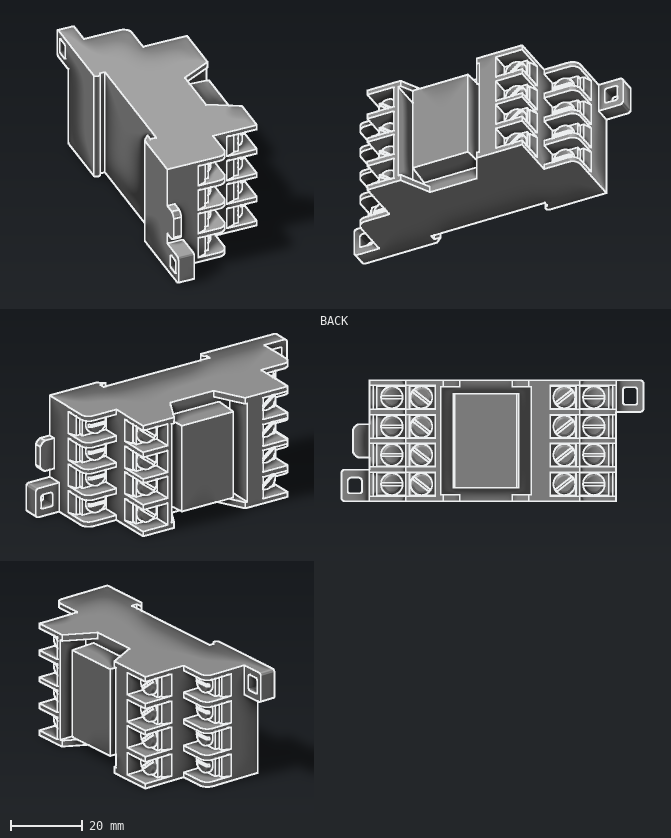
import cadquery as cq

length = 84.84
height = 32.0
width = 34.04
mid_z = width / 2

body_left = 7.7
body_right = 76.95
body_center = (body_left + body_right) / 2
tower_inset = 10.22
tower_left = body_left + tower_inset
tower_right = body_right - tower_inset
tier_rise = 13.3
shoulder_height = 18.5
shoulder_radius = 2.5

notch_center = 44.25
notch_top_width = 24.0
notch_floor_width = 14.7
notch_depth = 9.0
notch_floor = height - notch_depth
recess_width = 25.5
recess_wall = 1.85

plug_top_width = 17.4
plug_base_width = 18.4
plug_height = 30.95
plug_wall_distance = 3.8

channel_left = 25.3
channel_right = 61.1
channel_roof = 3.58
fixed_hook_height = 2.05
fixed_hook_reach = 1.1
fixed_hook_tip = 1.0
fixed_hook_foot = 0.5
spring_hook_height = 1.8
spring_hook_reach = 2.0

tab_thickness = 4.85
tab_width = 8.95
tab_corner_radius = 1.0
hole_length = 3.95
left_hole_width = 4.85
hole_margin = 1.8
left_hole_inner_radius = 0.6
right_hole_width = 4.35
right_hole_inner_radius = 1.0
hole_outer_radius = 0.6

latch_reach = 4.65
latch_width = 9.4
latch_start = 12.3
latch_thickness = 2.3
latch_corner = 1.55
latch_corner_bulge = 0.23

bays_per_tier = 4
bay_width = 6.65
side_wall = 1.5
center_rib = 1.3
bay_rib = (width - 2 * side_wall - bays_per_tier * bay_width - center_rib) / 2
inner_bay_offset = (center_rib + bay_width) / 2
outer_bay_offset = inner_bay_offset + bay_width + bay_rib
bay_offsets = (-outer_bay_offset, -inner_bay_offset, inner_bay_offset, outer_bay_offset)
lower_sill = 9.43
upper_sill = lower_sill + tier_rise
sill_run = 1.0
sill_rise = 2.65
lower_bay_depth = tower_inset
upper_bay_depth = 8.3

plate_thickness = 1.4
plate_width = 6.3
lower_plate_setback = 2.1
upper_plate_setback = 1.1
head_radius = 3.05
head_back_gap = 0.9
head_height = 1.7
head_rim = 0.55
head_crown_radius = 2.1
head_bulge = 0.2
slot_width = 0.75
slot_depth = 0.6
lower_slot_angle = 0
upper_slot_angle = 38


def box(x0, x1, y0, y1, z0, z1):
    """Box between two opposite corners."""
    return cq.Workplane("XY").box(x1 - x0, y1 - y0, z1 - z0, centered=False).translate((x0, y0, z0))


def trapezoid(center_x, bottom_width, top_width, y0, y1):
    """Sketch symmetric about center_x, tapering from y0 up to y1."""
    return (
        cq.Workplane("XY")
        .moveTo(center_x - bottom_width / 2, y0)
        .lineTo(center_x + bottom_width / 2, y0)
        .lineTo(center_x + top_width / 2, y1)
        .lineTo(center_x - top_width / 2, y1)
        .close()
    )


def mirror_end(solid):
    """Copy of a left-end feature on the right end of the body."""
    return solid.mirror("YZ", (body_center, 0, 0))


def make_body():
    lower = box(body_left, body_right, 0, shoulder_height, 0, width)
    lower = lower.edges("|Z and >Y").fillet(shoulder_radius)
    tower = box(tower_left, tower_right, 0, height, 0, width)
    return lower.union(tower)


def make_rail_channel():
    return (
        cq.Workplane("XY")
        .moveTo(channel_left, channel_roof)
        .lineTo(channel_left, fixed_hook_height)
        .threePointArc(
            (channel_left + fixed_hook_reach, fixed_hook_tip),
            (channel_left + fixed_hook_foot, 0),
        )
        .lineTo(channel_right, 0)
        .lineTo(channel_right - spring_hook_reach, spring_hook_height)
        .lineTo(channel_right, spring_hook_height)
        .lineTo(channel_right, channel_roof)
        .close()
        .extrude(width)
    )


def cut_plug_recess(body):
    notch = trapezoid(notch_center, notch_floor_width, notch_top_width, notch_floor, height).extrude(width)
    recess = box(
        notch_center - recess_width / 2,
        notch_center + recess_width / 2,
        notch_floor,
        height,
        recess_wall,
        width - recess_wall,
    )
    plug = (
        trapezoid(notch_center, plug_base_width, plug_top_width, notch_floor, plug_height)
        .extrude(width - 2 * plug_wall_distance)
        .translate((0, 0, plug_wall_distance))
    )
    return body.cut(notch).cut(recess).union(plug)


def make_tab(reach, hole_width, inner_radius):
    """Tab at the -X, +Z corner, reaching from X = 0 to the body, with its mounting hole."""
    tab = box(0, reach, 0, tab_thickness, width - tab_width, width)
    tab = tab.edges("|Y and <X").fillet(tab_corner_radius)
    hole_z = width - tab_width / 2
    hole = box(
        hole_margin,
        hole_margin + hole_length,
        0,
        tab_thickness,
        hole_z - hole_width / 2,
        hole_z + hole_width / 2,
    )
    hole = hole.edges("|Y and >Z").fillet(hole_outer_radius)
    hole = hole.edges("|Y and <Z").fillet(inner_radius)
    return tab.cut(hole)


def add_tabs(body):
    """Tabs at opposite corners, the right one turned half a turn about Y."""
    left_tab = make_tab(body_left, left_hole_width, left_hole_inner_radius)
    right_tab = make_tab(length - body_right, right_hole_width, right_hole_inner_radius)
    right_tab = right_tab.rotate((0, 0, 0), (0, 1, 0), 180).translate((length, 0, width))
    return body.union(left_tab).union(right_tab)


def make_latch():
    """Flat tongue with bulged corners, drawn in X and Z from the middle of its root."""
    half_width = latch_width / 2
    corner_x = latch_reach - latch_corner
    corner_z = half_width - latch_corner
    return (
        cq.Workplane("XZ")
        .moveTo(0, -half_width)
        .lineTo(corner_x, -half_width)
        .sagittaArc((latch_reach, -corner_z), -latch_corner_bulge)
        .lineTo(latch_reach, corner_z)
        .sagittaArc((corner_x, half_width), -latch_corner_bulge)
        .lineTo(0, half_width)
        .close()
        .extrude(-latch_thickness)
        .translate((body_right, 0, latch_start + half_width))
    )


def make_bay(front, depth, sill, top, z):
    """Void of one bay, open at the front and top, with a sloping sill."""
    return (
        cq.Workplane("XY")
        .moveTo(front, sill)
        .lineTo(front + sill_run, sill + sill_rise)
        .lineTo(front + depth, sill + sill_rise)
        .lineTo(front + depth, top)
        .lineTo(front, top)
        .close()
        .extrude(bay_width)
        .translate((0, 0, z - bay_width / 2))
    )


def make_screw(x, y, z, slot_angle):
    """Domed slotted screw head standing on y."""
    head = (
        cq.Workplane("XY")
        .lineTo(head_radius, 0)
        .lineTo(head_radius, head_rim)
        .threePointArc(
            ((head_radius + head_crown_radius) / 2 + head_bulge, (head_rim + head_height) / 2 + head_bulge),
            (head_crown_radius, head_height),
        )
        .lineTo(0, head_height)
        .close()
        .revolve(360, (0, 0, 0), (0, 1, 0))
    )
    slot = box(
        -head_radius, head_radius, head_height - slot_depth, head_height, -slot_width / 2, slot_width / 2
    )
    slot = slot.rotate((0, 0, 0), (0, 1, 0), slot_angle)
    return head.cut(slot).translate((x, y, z))


def make_terminal(front, depth, sill, plate_setback, slot_angle, z):
    """Terminal plate on the bay floor with its screw."""
    plate_base = sill + sill_rise
    plate_top = plate_base + plate_thickness
    back = front + depth
    plate_front = front + plate_setback
    plate = box(plate_front, back, plate_base, plate_top, z - plate_width / 2, z + plate_width / 2)
    screw = make_screw(back - head_back_gap - head_radius, plate_top, z, slot_angle)
    return plate.union(screw)


def add_terminals(body):
    tiers = (
        (body_left, lower_bay_depth, lower_sill, shoulder_height, lower_plate_setback, lower_slot_angle),
        (tower_left, upper_bay_depth, upper_sill, height, upper_plate_setback, upper_slot_angle),
    )
    for front, depth, sill, top, plate_setback, slot_angle in tiers:
        for offset in bay_offsets:
            z = mid_z + offset
            bay = make_bay(front, depth, sill, top, z)
            terminal = make_terminal(front, depth, sill, plate_setback, slot_angle, z)
            body = body.cut(bay).cut(mirror_end(bay))
            body = body.union(terminal).union(mirror_end(terminal))
    return body


body = make_body().cut(make_rail_channel())
body = cut_plug_recess(body)
body = add_terminals(body)
result = add_tabs(body).union(make_latch())